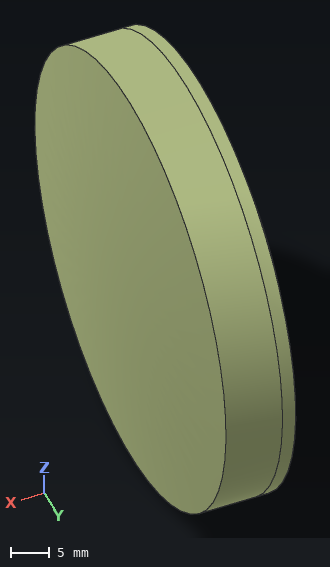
import cadquery as cq

diameter = 63.0
center_thickness = 17.39

front_rim_width = 1.87
back_rim_width = 7.93
front_sag = 5.24
back_sag = center_thickness - front_sag - front_rim_width - back_rim_width

radius = diameter / 2

front_vertex = 0.0
front_edge = front_vertex + front_sag
meeting_face = front_edge + front_rim_width
back_edge = meeting_face + back_rim_width
back_vertex = back_edge + back_sag


def dome_height(sag, distance):
    """Height of a dome above its rim plane, at a given distance from the optical axis."""
    sphere_radius = (radius**2 + sag**2) / (2 * sag)
    return (sphere_radius**2 - distance**2) ** 0.5 - (sphere_radius - sag)


def lens_element(flat_x, edge_x, vertex_x):
    """Revolve one element about X: flat face, cylindrical rim and spherical dome."""
    outward = 1 if vertex_x > edge_x else -1
    mid_distance = radius / 2
    mid_x = edge_x + outward * dome_height(abs(vertex_x - edge_x), mid_distance)
    return (
        cq.Workplane("XZ")
        .moveTo(flat_x, 0)
        .lineTo(flat_x, radius)
        .lineTo(edge_x, radius)
        .threePointArc((mid_x, mid_distance), (vertex_x, 0))
        .close()
        .revolve(360, (0, 0, 0), (1, 0, 0))
    )


front_element = lens_element(meeting_face, front_edge, front_vertex)
back_element = lens_element(meeting_face, back_edge, back_vertex)

result = cq.Compound.makeCompound([front_element.val(), back_element.val()])